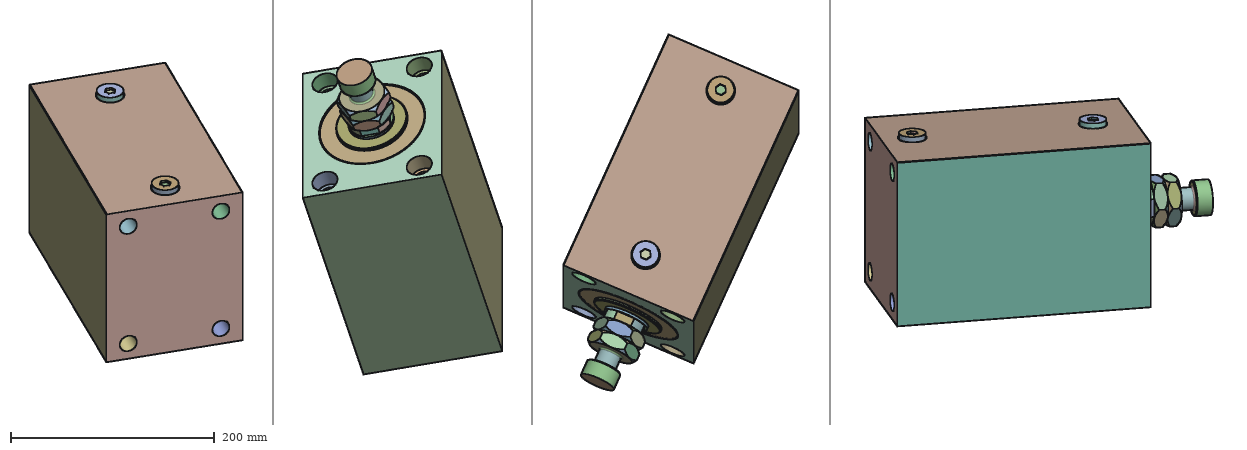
import cadquery as cq
import math


housing_length = 255.0
housing_width = 140.0
housing_height = 170.0
top_edge_chamfer = 0.5

bore_chamfer = 1.0

mount_spacing_y = 95.0
mount_spacing_z = 134.5
mount_hole_diameter = 17.5
mount_counterbore_diameter = 25.5
mount_counterbore_depth = 18.0

gland_diameter = 105.3
gland_depth = 30.0
boss_diameter = 72.0
boss_height = 3.0
boss_chamfer = 1.0

rod_diameter = 46.0
rod_end_diameter = 44.0
rod_shoulder_length = 3.0
rod_flats = 40.0
rod_flats_length = 9.0

pin_head_diameter = 35.5
pin_head_length = 16.5
pin_head_chamfer = 1.0
neck_diameter = 22.8
neck_length = 16.0
neck_fillet = 1.5
hex_flats = 46.0
hex_length = 14.0
hex_face_diameter = 45.5
hex_chamfer_angle = 45
hex_count = 2

plug_positions_x = (42.0, 223.7)
plug_diameter = 26.5
plug_protrusion = 5.0
plug_depth = 14.0
socket_flats = 9.5
socket_depth = 2.3

rod_shoulder_x = -boss_height - rod_shoulder_length
rod_front_x = rod_shoulder_x - rod_flats_length
pin_front_x = rod_front_x - hex_count * hex_length - neck_length - pin_head_length
housing_top_z = housing_height / 2


def cylinder_x(diameter, start_x, end_x):
    """A cylinder on the rod axis between two X positions."""
    return cq.Workplane("YZ", origin=(start_x, 0, 0)).circle(diameter / 2).extrude(end_x - start_x)


def cylinder_z(diameter, x, bottom_z, top_z):
    """A vertical cylinder in the middle plane of the housing."""
    return cq.Workplane("XY", origin=(x, 0, bottom_z)).circle(diameter / 2).extrude(top_z - bottom_z)


def hex_across_corners(across_flats):
    return across_flats / math.cos(math.pi / 6)


def mouth_cone(plane, bore_diameter):
    """The cone cut away at a bore mouth, narrowing along the plane's normal to the bore."""
    mouth_diameter = bore_diameter + 2 * bore_chamfer
    return (
        cq.Workplane(plane)
        .circle(mouth_diameter / 2)
        .workplane(offset=bore_chamfer)
        .circle(bore_diameter / 2)
        .loft()
    )


def make_housing():
    body = cq.Workplane("XY").box(
        housing_length, housing_width, housing_height, centered=(False, True, True)
    )
    body = body.faces(">Z").edges("|X").chamfer(top_edge_chamfer)

    body = (
        body.faces("<X")
        .workplane(origin=(0, 0, 0))
        .rect(mount_spacing_y, mount_spacing_z, forConstruction=True)
        .vertices()
        .cboreHole(mount_hole_diameter, mount_counterbore_diameter, mount_counterbore_depth)
    )

    body = body.cut(cylinder_x(gland_diameter, 0, gland_depth))
    body = body.cut(mouth_cone(cq.Plane.YZ(), gland_diameter))
    for x in plug_positions_x:
        body = body.cut(cylinder_z(plug_diameter, x, housing_top_z - plug_depth, housing_top_z))
        downward = cq.Plane(origin=(x, 0, housing_top_z), xDir=(1, 0, 0), normal=(0, 0, -1))
        body = body.cut(mouth_cone(downward, plug_diameter))
    return body


def make_gland():
    boss = cylinder_x(boss_diameter, -boss_height, 0).faces("<X").chamfer(boss_chamfer)
    gland = cylinder_x(gland_diameter, 0, gland_depth).union(boss)
    return gland.cut(cylinder_x(rod_diameter, -boss_height, gland_depth))


def make_rod():
    shaft = cylinder_x(rod_diameter, rod_shoulder_x, gland_depth)
    square = cq.Workplane("YZ", origin=(rod_front_x, 0, 0)).rect(rod_flats, rod_flats)
    square_end = square.extrude(rod_flats_length)
    return shaft.union(square_end.intersect(cylinder_x(rod_end_diameter, rod_front_x, rod_shoulder_x)))


def make_hex_collar(start_x):
    """A hexagonal collar with its corners turned off conically at both ends."""
    corners = hex_across_corners(hex_flats)
    prism = (
        cq.Workplane("YZ", origin=(start_x, 0, 0))
        .polygon(6, corners)
        .extrude(hex_length)
    )
    chamfer_height = corners / 2 - hex_face_diameter / 2
    chamfer_run = chamfer_height * math.tan(math.radians(hex_chamfer_angle))
    turned_blank = (
        cylinder_x(corners, start_x, start_x + hex_length)
        .faces("<X or >X")
        .edges()
        .chamfer(chamfer_run, chamfer_height)
    )
    return prism.intersect(turned_blank)


def make_coupling_pin():
    neck_start_x = pin_front_x + pin_head_length
    neck_end_x = neck_start_x + neck_length
    head_radius = pin_head_diameter / 2
    neck_radius = neck_diameter / 2
    arc_offset = neck_fillet * (1 - math.sqrt(0.5))

    pin = (
        cq.Workplane("XY")
        .moveTo(pin_front_x, 0)
        .lineTo(pin_front_x, head_radius)
        .lineTo(neck_start_x - pin_head_chamfer, head_radius)
        .lineTo(neck_start_x, head_radius - pin_head_chamfer)
        .lineTo(neck_start_x, neck_radius + neck_fillet)
        .threePointArc(
            (neck_start_x + arc_offset, neck_radius + arc_offset),
            (neck_start_x + neck_fillet, neck_radius),
        )
        .lineTo(neck_end_x - neck_fillet, neck_radius)
        .threePointArc(
            (neck_end_x - arc_offset, neck_radius + arc_offset),
            (neck_end_x, neck_radius + neck_fillet),
        )
        .lineTo(neck_end_x, 0)
        .close()
        .revolve(360, (0, 0, 0), (1, 0, 0))
    )
    for index in range(hex_count):
        pin = pin.union(make_hex_collar(neck_end_x + index * hex_length))
    return pin


def make_plug(x):
    plug_top_z = housing_top_z + plug_protrusion
    body = cylinder_z(plug_diameter, x, housing_top_z - plug_depth, plug_top_z)
    socket = (
        cq.Workplane("XY", origin=(x, 0, plug_top_z))
        .transformed(rotate=(0, 0, 90))
        .polygon(6, hex_across_corners(socket_flats))
        .extrude(-socket_depth)
    )
    return body.cut(socket)


housing = make_housing()
gland = make_gland()
rod = make_rod()
coupling_pin = make_coupling_pin()
plugs = [make_plug(x) for x in plug_positions_x]

result = cq.Compound.makeCompound(
    [housing.val(), gland.val(), rod.val(), coupling_pin.val(), *[plug.val() for plug in plugs]]
)